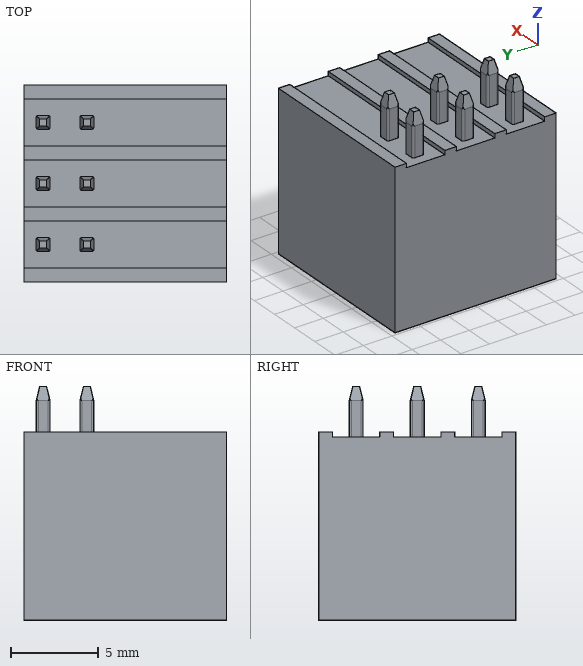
import cadquery as cq

body_length = 11.6
body_width = 11.3
body_height = 10.8
overall_height = 13.4

channel_count = 3
rib_width = 0.8
channel_depth = 0.28
channel_pitch = (body_width - rib_width) / channel_count
channel_width = channel_pitch - rib_width
channel_floor = body_height - channel_depth
channel_centers = [(i - (channel_count - 1) / 2) * channel_pitch for i in range(channel_count)]

pins_per_channel = 2
pin_pitch = 2.5
first_pin_inset = 1.1
pin_size = 0.8
pin_edge_radius = 0.13
pin_tip_size = 0.4
pin_tip_height = 0.82
pin_embed = 0.13
pin_centers = [first_pin_inset - body_length / 2 + i * pin_pitch for i in range(pins_per_channel)]


def make_housing():
    """Block with open-ended channels across its top."""
    housing = cq.Workplane("XY").box(body_length, body_width, body_height, centered=(True, True, False))
    for y in channel_centers:
        channel = (
            cq.Workplane("XY", origin=(0, y, channel_floor))
            .box(body_length, channel_width, channel_depth, centered=(True, True, False))
        )
        housing = housing.cut(channel)
    return housing


def make_pin():
    """Pin on the Z axis: a square shaft with rounded edges, trimmed to a square pyramid tip."""
    shaft_bottom = channel_floor - pin_embed
    shoulder = overall_height - pin_tip_height
    shaft = (
        cq.Workplane("XY", origin=(0, 0, shaft_bottom))
        .rect(pin_size, pin_size)
        .extrude(overall_height - shaft_bottom)
        .edges("|Z")
        .fillet(pin_edge_radius)
    )
    tip = (
        cq.Workplane("XY", origin=(0, 0, shoulder))
        .rect(pin_size, pin_size)
        .workplane(offset=pin_tip_height)
        .rect(pin_tip_size, pin_tip_size)
        .loft(ruled=True)
    )
    square_envelope = (
        cq.Workplane("XY", origin=(0, 0, shaft_bottom))
        .rect(pin_size, pin_size)
        .extrude(shoulder - shaft_bottom)
        .union(tip)
    )
    return shaft.intersect(square_envelope)


result = make_housing()
pin = make_pin()
for y in channel_centers:
    for x in pin_centers:
        result = result.union(pin.translate((x, y, 0)))